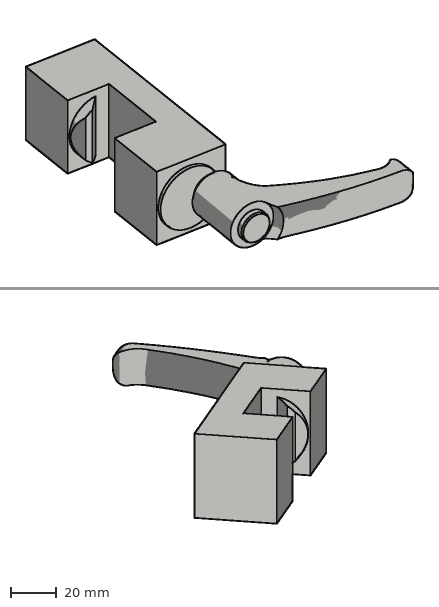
import cadquery as cq
import math

BLOCK_LENGTH = 100.0
BLOCK_DEPTH = 37.1
BLOCK_HEIGHT = 39.0
NOTCH_WIDTH = 35.8
NOTCH_DEPTH = 22.2
NOTCH_LEFT = (BLOCK_LENGTH - NOTCH_WIDTH) / 2
NOTCH_RIGHT = NOTCH_LEFT + NOTCH_WIDTH

JAW_DIAMETER = 32.0
JAW_AXIS_Y = 16.9
JAW_REACH = 5.8
JAW_RIDGE_Y = 7.4
JAW_RIDGE_WIDTH = 3.7
JAW_PROUD = 1.8

HUB_AXIS_Y = 27.1
HUB_DIAMETER = 23.1
HUB_LENGTH = 29.1
COLLAR_DIAMETER = 18.5
COLLAR_LENGTH = 3.4
COLLAR_CHAMFER = 0.9
BOSS_DIAMETER = 15.1
BOSS_LENGTH = 3.5
BOSS_CHAMFER_LENGTH = 0.9
BOSS_CHAMFER_RADIAL = 0.5
COLLAR_START = BLOCK_LENGTH + JAW_PROUD
HUB_START = COLLAR_START + COLLAR_LENGTH
HUB_END = HUB_START + HUB_LENGTH
BOSS_END = HUB_END + BOSS_LENGTH
HUB_RADIUS = HUB_DIAMETER / 2

ARM_WIDTH = 16.7
ARM_RIGHT = 148.0
ARM_TOP_Y = 105.8
ARM_FILLET = 16.7

ARM_ROOT_X = 111.4
ROOT_BLEND_MID = (118.0, 13.3)
INNER_FACE_START = (123.3, 17.5)
INNER_FACE_MID = (134.2, 40.1)
INNER_FACE_END = (140.7, 62.9)
HOLLOW_MID = (140.9, 67.3)
HOLLOW_END = (139.4, 70.7)
NOSE_MID = (137.6, 73.7)
NOSE_END = (138.6, 76.6)
CROWN_MID = (141.3, 78.3)
CROWN_TOP = (144.3, ARM_TOP_Y - HUB_AXIS_Y)
SHOULDER_MID = (146.9, 77.8)
SHOULDER_END = (ARM_RIGHT, 75.8)
OUTER_FACE_START = (ARM_RIGHT, 70.3)
OUTER_FACE_MID = (145.7, 42.5)
OUTER_FACE_END = (140.4, 15.4)
HEEL_START = (140.0, 13.0)
HEEL_MID = (136.7, 12.0)


def make_jaw(outer_x, wall_x, direction):
    """Cylinder from outer_x past wall_x with a ridged tip; direction is +1 or -1 along X."""
    tip_x = wall_x + direction * JAW_REACH
    length = abs(tip_x - outer_x)
    start_x = min(outer_x, tip_x)
    jaw = cq.Workplane("YZ", origin=(start_x, JAW_AXIS_Y, 0)).circle(JAW_DIAMETER / 2).extrude(length)
    half_ridge = JAW_RIDGE_WIDTH / 2
    half_base = half_ridge + length
    wedge = (
        cq.Workplane("XY")
        .polyline([
            (outer_x, JAW_RIDGE_Y - half_base),
            (tip_x, JAW_RIDGE_Y - half_ridge),
            (tip_x, JAW_RIDGE_Y + half_ridge),
            (outer_x, JAW_RIDGE_Y + half_base),
        ])
        .close()
        .extrude(JAW_DIAMETER, both=True)
    )
    return jaw.intersect(wedge)


def make_clamp():
    """Notched block with the two opposing jaws as one solid."""
    block = cq.Workplane("XY").box(BLOCK_LENGTH, BLOCK_DEPTH, BLOCK_HEIGHT, centered=(False, False, True))
    notch = (
        cq.Workplane("XY")
        .box(NOTCH_WIDTH, NOTCH_DEPTH, BLOCK_HEIGHT, centered=(False, False, True))
        .translate((NOTCH_LEFT, 0, 0))
    )
    left_jaw = make_jaw(0, NOTCH_LEFT, 1)
    right_jaw = make_jaw(COLLAR_START, NOTCH_RIGHT, -1)
    return block.cut(notch).union(left_jaw).union(right_jaw)


def revolve_about_hub(profile):
    """Revolve an (x, radius) profile about the hub axis."""
    return profile.close().revolve(360, (0, 0, 0), (1, 0, 0)).translate((0, HUB_AXIS_Y, 0))


def make_hub():
    """Stepped hub: chamfered collar, main cylinder and end boss."""
    collar_radius = COLLAR_DIAMETER / 2
    boss_radius = BOSS_DIAMETER / 2
    return revolve_about_hub(
        cq.Workplane("XY").polyline([
            (COLLAR_START, 0),
            (COLLAR_START, collar_radius - COLLAR_CHAMFER),
            (COLLAR_START + COLLAR_CHAMFER, collar_radius),
            (HUB_START, collar_radius),
            (HUB_START, HUB_RADIUS),
            (HUB_END, HUB_RADIUS),
            (HUB_END, boss_radius),
            (BOSS_END - BOSS_CHAMFER_LENGTH, boss_radius),
            (BOSS_END, boss_radius - BOSS_CHAMFER_RADIAL),
            (BOSS_END, 0),
        ])
    )


def make_arm_sweep():
    """Ring whose (x, radius) section is the curved side outline of the arm."""
    return revolve_about_hub(
        cq.Workplane("XY")
        .moveTo(HUB_START, 0)
        .lineTo(HUB_START, HUB_RADIUS)
        .lineTo(ARM_ROOT_X, HUB_RADIUS)
        .threePointArc(ROOT_BLEND_MID, INNER_FACE_START)
        .threePointArc(INNER_FACE_MID, INNER_FACE_END)
        .threePointArc(HOLLOW_MID, HOLLOW_END)
        .threePointArc(NOSE_MID, NOSE_END)
        .threePointArc(CROWN_MID, CROWN_TOP)
        .threePointArc(SHOULDER_MID, SHOULDER_END)
        .lineTo(*OUTER_FACE_START)
        .threePointArc(OUTER_FACE_MID, OUTER_FACE_END)
        .lineTo(*HEEL_START)
        .threePointArc(HEEL_MID, (HUB_END, HUB_RADIUS))
        .lineTo(HUB_END, 0)
    )


def make_arm_slab():
    """Arm cross-section in Y and Z: flat sides, round end and fillets tangent to the hub."""
    half_width = ARM_WIDTH / 2
    fillet_z = half_width + ARM_FILLET
    centre_distance = HUB_RADIUS + ARM_FILLET
    fillet_rise = math.sqrt(centre_distance**2 - fillet_z**2)
    fillet_y = HUB_AXIS_Y + fillet_rise
    hub_y = HUB_AXIS_Y + HUB_RADIUS * fillet_rise / centre_distance
    hub_z = HUB_RADIUS * fillet_z / centre_distance
    mid_angle = (math.atan2(fillet_z, fillet_rise) + math.pi / 2) / 2
    mid_y = fillet_y - ARM_FILLET * math.cos(mid_angle)
    mid_z = fillet_z - ARM_FILLET * math.sin(mid_angle)
    round_y = ARM_TOP_Y - half_width
    return (
        cq.Workplane("YZ", origin=(HUB_START, 0, 0))
        .moveTo(HUB_AXIS_Y, 0)
        .lineTo(hub_y, hub_z)
        .threePointArc((mid_y, mid_z), (fillet_y, half_width))
        .lineTo(round_y, half_width)
        .threePointArc((ARM_TOP_Y, 0), (round_y, -half_width))
        .lineTo(fillet_y, -half_width)
        .threePointArc((mid_y, -mid_z), (hub_y, -hub_z))
        .close()
        .extrude(ARM_RIGHT - HUB_START)
    )


def make_lever():
    """Clamping lever: the arm is the part of the curved ring inside the slab."""
    return make_hub().union(make_arm_sweep().intersect(make_arm_slab()))


clamp = make_clamp()
lever = make_lever()
result = cq.Compound.makeCompound([clamp.val(), lever.val()])